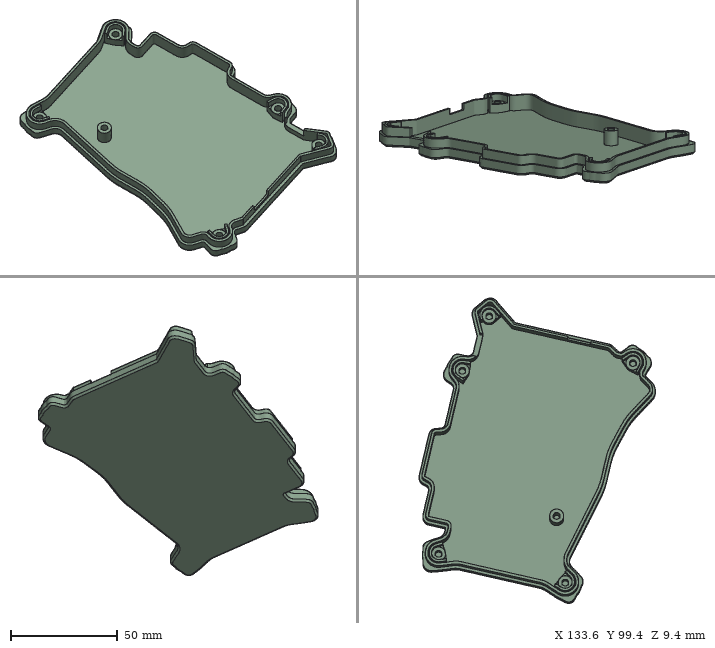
import cadquery as cq
import math

total_height = 9.4
floor_thickness = 2.0
ledge_height = 5.0
seat_height = 6.2
pad_height = 6.1
standoff_height = 9.2
bottom_chamfer = 1.0

lip_thickness = 1.3
wall_thickness = 2 * lip_thickness
slim_lip_thickness = 1.0

hole_diameter = 3.2
post_diameter = 6.6
boss_diameter = 8.8
boss_gap = 0.6
leg_length = 3.3
short_leg_length = 1.2
post_radius = post_diameter / 2
boss_radius = boss_diameter / 2
corner_radius = boss_radius + boss_gap
lobe_radius = corner_radius + wall_thickness

top_left = (-58.25, 32.3)
top_middle = (29.65, 41.15)
top_right = (57.9, 34.7)
bottom_right = (51.3, -36.3)
bottom_left = (-58.25, -28.9)
standoff_centre = (-28.6, -17.9)

bosses = [
    (top_left, (-70, leg_length), (-60, leg_length)),
    (top_middle, (-110, leg_length), (-86, leg_length)),
    (top_right, (208, short_leg_length), (-126, leg_length)),
    (bottom_right, (138, leg_length), (165, leg_length)),
    (bottom_left, (58, leg_length), (70, leg_length)),
]

left_x = -60.1
notch_x = -42.4
right_x = 55.25
neck_x = 52.7
left_shelf_y = 41.15
bulge_y = 47.1
right_shelf_y = 40.7
low_shelf_y = 35.55
bottom_y = -34.25

sweep_radius = 11.4
shelf_radius = 4.8
bulge_radius = 1.15
outer_inside_radius = 0.1
inside_radius = wall_thickness + outer_inside_radius
step_radius = 5.25
shoulder_radius = 1.65
bend_radius = 32.8
hip_radius = 30.0

cavity_corners = [
    (left_x - sweep_radius, 20.9, -sweep_radius),
    (*top_left, corner_radius),
    (-47.15, 35.6, -6.25),
    (notch_x - inside_radius, 32.0, -inside_radius),
    (notch_x + bulge_radius, left_shelf_y - bulge_radius, bulge_radius),
    (-29.4, left_shelf_y + shelf_radius, -shelf_radius),
    (-23.2, bulge_y - bulge_radius, bulge_radius),
    (-3.4, bulge_y - bulge_radius, bulge_radius),
    (2.9, right_shelf_y + shelf_radius, -shelf_radius),
    (20.6, right_shelf_y + shelf_radius, -shelf_radius),
    (*top_middle, corner_radius),
    (40.0, low_shelf_y + step_radius, -step_radius),
    (47.95, low_shelf_y + inside_radius, -inside_radius),
    (58.3, 39.4, 0.9),
    (62.45, 35.4, 1.6),
    (right_x + inside_radius, 22.0, -inside_radius),
    (right_x - shoulder_radius, -23.0, shoulder_radius),
    (neck_x + inside_radius, -28.4, -inside_radius),
    (neck_x + inside_radius, -29.6, -inside_radius),
    (*bottom_right, corner_radius),
    (47.45, -44.0, -3.45),
    (39.65, -44.0, 3.1),
    (11.9, -69.4, -bend_radius),
    (3.15, bottom_y - bend_radius, -bend_radius),
    (-6.4, bottom_y + hip_radius, hip_radius),
    (-46.5, -32.8, -7.05),
    (*bottom_left, corner_radius),
    (left_x - sweep_radius, -17.5, -sweep_radius),
]

lobes = [
    [(-62.8, 34.75, 4.0), (-56.3, 37.0, 3.3), (*top_left, lobe_radius)],
    [(27.15, 45.9, 3.6), (34.3, 44.45, 2.9), (*top_middle, lobe_radius)],
    [(60.5, 40.0, 1.6), (63.15, 35.3, 3.67), (*top_right, corner_radius)],
    [(57.1, -34.8, 2.8), (53.05, -41.5, 3.2), (*bottom_right, lobe_radius)],
    [(-56.1, -34.0, 2.9), (-63.6, -31.8, 3.15), (*bottom_left, lobe_radius)],
]

slim_start_y = -24.0
slim_end_y = 22.3
lip_gap_start = 37.3
lip_gap_end = 48.5
dip_centre_y = -9.3
dip_length = 11.2
dip_depth = 3.0
dip_corner_radius = 0.85


def rounded_outline(corners, offset=0.0):
    """Closed clockwise wire of arcs joined by their common tangents, grown by offset."""
    count = len(corners)
    circles = [(x, y, radius + offset) for x, y, radius in corners]
    headings = []
    for i in range(count):
        x0, y0, r0 = circles[i]
        x1, y1, r1 = circles[(i + 1) % count]
        dx = x1 - x0
        dy = y1 - y0
        headings.append(math.atan2(dy, dx) + math.asin((r1 - r0) / math.hypot(dx, dy)))

    def on_circle(circle, heading):
        x, y, radius = circle
        return (x - radius * math.sin(heading), y + radius * math.cos(heading))

    outline = cq.Workplane("XY").moveTo(*on_circle(circles[0], headings[-1]))
    for i in range(count):
        heading_in = headings[i - 1]
        side = math.copysign(1, circles[i][2])
        turn = -side * (side * (heading_in - headings[i]) % math.tau)
        middle = on_circle(circles[i], heading_in + turn / 2)
        outline = outline.threePointArc(middle, on_circle(circles[i], headings[i]))
        if i < count - 1:
            outline = outline.lineTo(*on_circle(circles[i + 1], headings[i]))
    return outline.close()


def slab(corners, offset, bottom, top):
    """Solid between two heights inside a rounded outline."""
    return rounded_outline(corners, offset).extrude(top - bottom).translate((0, 0, bottom))


def chamfered_slab(corners, offset, top):
    """Solid from the ground up inside a rounded outline, with its bottom edge chamfered."""
    bottom_wire = rounded_outline(corners, offset - bottom_chamfer).val()
    chamfer_wire = rounded_outline(corners, offset).val().translate(cq.Vector(0, 0, bottom_chamfer))
    foot = cq.Workplane(cq.Solid.makeLoft([bottom_wire, chamfer_wire], True))
    return foot.union(slab(corners, offset, bottom_chamfer, top))


def cylinder(centre, diameter, bottom, top):
    """Upright cylinder between two heights."""
    return cq.Workplane("XY", origin=(*centre, bottom)).circle(diameter / 2).extrude(top - bottom)


def block(x_range, y_range, z_range):
    """Axis-aligned box between pairs of limits."""
    low, high = zip(x_range, y_range, z_range)
    size = [top - bottom for bottom, top in zip(low, high)]
    return cq.Workplane("XY").box(*size, centered=False).translate(low)


def horseshoe(centre, first_leg, second_leg, radius, bottom, top):
    """Round end with a straight leg on either side, filled in to the centre."""
    first_direction, first_length = first_leg
    second_direction, second_length = second_leg

    def polar(start, direction, distance):
        angle = math.radians(direction)
        return (start[0] + distance * math.cos(angle), start[1] + distance * math.sin(angle))

    start_side = first_direction - 90
    end_side = second_direction + 90
    sweep = (start_side - end_side) % 360
    arc_start = polar(centre, start_side, radius)
    arc_middle = polar(centre, start_side - sweep / 2, radius)
    arc_end = polar(centre, end_side, radius)
    return (
        cq.Workplane("XY", origin=(0, 0, bottom))
        .moveTo(*polar(centre, first_direction, first_length))
        .lineTo(*polar(arc_start, first_direction, first_length))
        .lineTo(*arc_start)
        .threePointArc(arc_middle, arc_end)
        .lineTo(*polar(arc_end, second_direction, second_length))
        .lineTo(*polar(centre, second_direction, second_length))
        .lineTo(*centre)
        .close()
        .extrude(top - bottom)
    )


def make_tray():
    """Base and full-width wall, with the lobes, the bottom chamfer and the cavity."""
    tray = chamfered_slab(cavity_corners, wall_thickness, ledge_height)
    for lobe in lobes:
        tray = tray.union(chamfered_slab(lobe, 0, ledge_height))
    return tray.cut(slab(cavity_corners, 0, floor_thickness, ledge_height))


def make_lip():
    """Thin rim that rises above the ledge, with its slim stretch, gap and dip."""
    lip = slab(cavity_corners, lip_thickness, floor_thickness, total_height)
    lip = lip.cut(slab(cavity_corners, 0, floor_thickness, total_height))
    above_ledge = (ledge_height, total_height)
    beyond_wall = right_x + 2 * wall_thickness
    slim_side = block((right_x + slim_lip_thickness, beyond_wall), (slim_start_y, slim_end_y), above_ledge)
    gap = block((lip_gap_start, lip_gap_end), (low_shelf_y - wall_thickness, bulge_y), above_ledge)
    return lip.cut(slim_side).cut(gap).cut(make_dip())


def make_dip():
    """Round-bottomed cutter for the dip in the right-hand lip."""
    dip = block(
        (right_x - wall_thickness, right_x + wall_thickness),
        (dip_centre_y - dip_length / 2, dip_centre_y + dip_length / 2),
        (total_height - dip_depth, total_height),
    )
    return dip.faces("<Z").edges("|X").fillet(dip_corner_radius)


def make_boss(centre, first_leg, second_leg):
    """Screw post on a pad, backed by a tall horseshoe-shaped rim."""
    pad = horseshoe(centre, first_leg, second_leg, boss_radius, floor_thickness, pad_height)
    rim = horseshoe(centre, first_leg, second_leg, boss_radius, pad_height, total_height)
    rim = rim.cut(horseshoe(centre, first_leg, second_leg, post_radius, pad_height, total_height))
    rim = rim.cut(cylinder(centre, post_diameter, pad_height, total_height))
    post = cylinder(centre, post_diameter, floor_thickness, seat_height)
    return pad.union(post).union(rim).cut(screw_hole(centre))


def screw_hole(centre):
    """Cutter for a blind screw hole that stops at the floor."""
    return cylinder(centre, hole_diameter, floor_thickness, total_height)


part = make_tray().union(make_lip())
for boss_centre, first_boss_leg, second_boss_leg in bosses:
    part = part.union(make_boss(boss_centre, first_boss_leg, second_boss_leg))
standoff = cylinder(standoff_centre, post_diameter, floor_thickness, standoff_height)
result = part.union(standoff.cut(screw_hole(standoff_centre)))